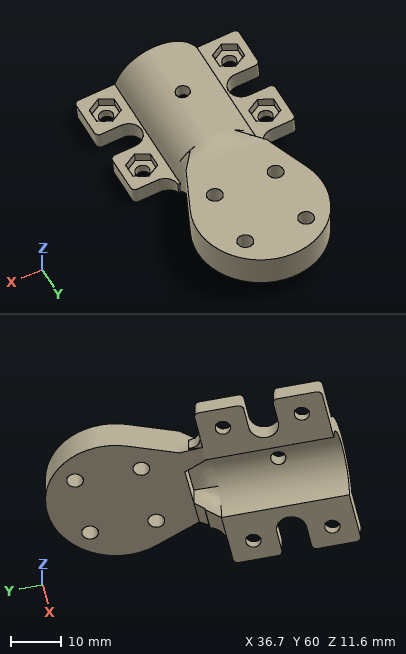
import cadquery as cq
import math

roll_angle = 5
clamp_length = 26.0
outer_radius = 10.0
bore_radius = 7.0
flange_width = 36.45
flange_thickness = 4.0
flange_corner_radius = 1.0
relief_radius = 3
relief_x = 12.7

screw_diameter = 3
screw_x = 13.7
screw_end_distance = 5.0
nut_across_flats = 5.5
nut_depth = 2.0

total_length = 59.95
plate_radius = 13.95
plate_bottom = 2.0
plate_top = 9
plate_hole_diameter = 3.3
plate_hole_spacing = 13.5
neck_half_width = 9
plate_x = 0.2

neck_y = 31.0
cavity_half_width = 4.0
cavity_top = 6.1
cavity_skirt = 1.8

clamp_middle = clamp_length / 2
plate_center_y = total_length - plate_radius


def roll(shape):
    return shape.rotate((0, 0, 0), (0, 1, 0), roll_angle)


def half_disc_edges(radius, skirt):
    """Upper half disc at the clamp end, lengthened below its axis by the skirt."""
    points = [
        cq.Vector(radius * math.cos(math.radians(a)), clamp_length, radius * math.sin(math.radians(a)))
        for a in range(0, 181, 30)
    ]
    arcs = [cq.Edge.makeThreePointArc(*points[i:i + 3]) for i in (0, 2, 4)]
    drop = cq.Vector(0, 0, -skirt)
    base = [points[-1], points[-1] + drop, points[0] + drop, points[0]]
    return [roll(edge) for edge in arcs + chain(base)]


def rectangle_edges(half_width, top, skirt):
    """Rectangle at the neck, split to pair edge by edge with the half disc."""
    height = top - plate_bottom
    outline = [(1, 0), (1, height), (-1, height), (-1, 0), (-1, -skirt), (1, -skirt), (1, 0)]
    return chain([cq.Vector(plate_x + side * half_width, neck_y, plate_bottom + z) for side, z in outline])


def chain(points):
    """Straight edges joining successive distinct points."""
    return [cq.Edge.makeLine(p, q) for p, q in zip(points, points[1:]) if (q - p).Length > 0]


def transition(radius, half_width, top, skirt=0):
    """Ruled solid from a half disc at the clamp to a rectangle at the neck."""
    start = half_disc_edges(radius, skirt)
    end = rectangle_edges(half_width, top, skirt)
    faces = [cq.Face.makeRuledSurface(p, q) for p, q in zip(start, end)]
    faces += [cq.Face.makeFromWires(cq.Wire.assembleEdges(edges)) for edges in (start, end)]
    solid = cq.Solid.makeSolid(cq.Shell.makeShell(faces))
    return cq.Workplane(obj=solid.fix())


def half_cylinder(radius):
    profile = cq.Workplane("XZ").moveTo(radius, 0).threePointArc((0, radius), (-radius, 0)).close()
    return profile.extrude(-clamp_length)


def flanges():
    body = cq.Workplane("XY").box(
        flange_width, clamp_length, flange_thickness, centered=(True, False, False)
    )
    notch_length = flange_width / 2 - relief_x
    for side in (-1, 1):
        notch = (
            cq.Workplane("XY")
            .center(side * (relief_x + notch_length / 2), clamp_middle)
            .rect(notch_length, 2 * relief_radius)
            .extrude(flange_thickness)
        )
        body = body.cut(notch)
    return body.edges("|Z").edges("<X or >X").fillet(flange_corner_radius)


def neck_web():
    """Webs joining the flanges to the neck, with an underside that follows the transition."""
    end_y = clamp_length + relief_radius
    end_bottom = plate_bottom * relief_radius / (neck_y - clamp_length)
    return (
        cq.Workplane("YZ")
        .polyline([
            (clamp_length, 0),
            (end_y, end_bottom),
            (end_y, flange_thickness),
            (clamp_length, flange_thickness),
        ])
        .close()
        .extrude(relief_x, both=True)
    )


def side_reliefs():
    """Round ends of the side notches and of the inside corners at the neck."""
    centers = [
        (side * relief_x, y)
        for side in (-1, 1)
        for y in (clamp_middle, clamp_length + relief_radius)
    ]
    return cq.Workplane("XY").pushPoints(centers).circle(relief_radius).extrude(flange_thickness)


def clamp_fasteners():
    positions = [
        (side * screw_x, y)
        for side in (-1, 1)
        for y in (screw_end_distance, clamp_length - screw_end_distance)
    ]
    nut_diameter = nut_across_flats / math.cos(math.pi / 6)
    screws = (
        cq.Workplane("XY")
        .pushPoints(positions + [(0, clamp_middle)])
        .circle(screw_diameter / 2)
        .extrude(outer_radius + 0.6)
    )
    for x, y in positions:
        nut = (
            cq.Workplane("XY", origin=(x, y, flange_thickness - nut_depth))
            .transformed(rotate=(0, 0, 90))
            .polygon(6, nut_diameter)
            .extrude(nut_depth)
        )
        screws = screws.union(nut)
    return screws


def plate():
    neck_drop = plate_center_y - neck_y
    corner_distance = math.hypot(neck_half_width, neck_drop)
    tangent_angle = math.acos(plate_radius / corner_distance) - math.atan2(neck_drop, neck_half_width)
    tangent_x = plate_radius * math.cos(tangent_angle)
    tangent_y = plate_center_y + plate_radius * math.sin(tangent_angle)
    body = (
        cq.Workplane("XY", origin=(0, 0, plate_bottom))
        .moveTo(neck_half_width, neck_y)
        .lineTo(tangent_x, tangent_y)
        .threePointArc((0, total_length), (-tangent_x, tangent_y))
        .lineTo(-neck_half_width, neck_y)
        .close()
        .extrude(plate_top - plate_bottom)
    )
    holes = (
        cq.Workplane("XY", origin=(0, plate_center_y, plate_bottom))
        .rect(plate_hole_spacing, plate_hole_spacing, forConstruction=True)
        .vertices()
        .circle(plate_hole_diameter / 2)
        .extrude(plate_top - plate_bottom)
    )
    return body.cut(holes).translate((plate_x, 0, 0))


clamp = flanges().union(neck_web()).union(half_cylinder(outer_radius)).cut(side_reliefs())
clamp = clamp.cut(half_cylinder(bore_radius)).cut(clamp_fasteners())

outer_transition = transition(outer_radius, neck_half_width, plate_top)
cavity = transition(bore_radius, cavity_half_width, cavity_top, cavity_skirt)
hollow_neck = outer_transition.cut(cavity).union(plate())

result = roll(clamp).cut(cavity).union(hollow_neck)